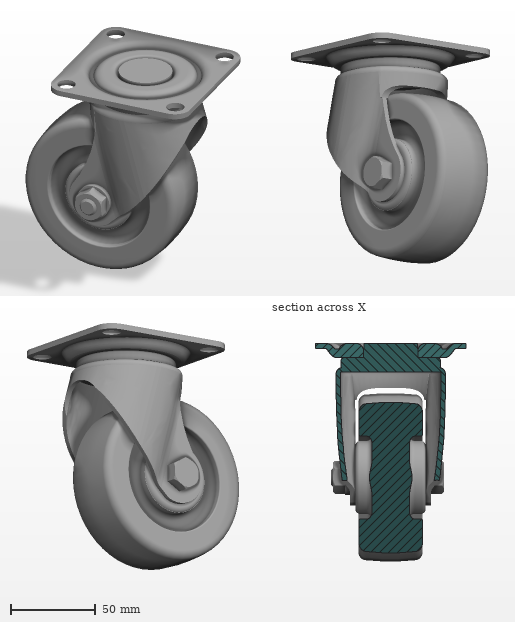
import cadquery as cq
import math


overall_height = 130.0
wheel_radius = 50.0
axle_x = -22.0
axle_z = wheel_radius - overall_height

plate_side = 90.0
plate_thickness = 3.4
plate_corner_radius = 10.0
plate_hole_diameter = 10.9
plate_hole_spacing = 71.0
plate_depth = 8.7
dish_top_radius = 39.3
dish_floor_outer_radius = 33.3
dish_floor_inner_radius = 31.0
dish_floor_depth = 3.5
mound_radius = 25.4
lip_radius = 20.9
skirt_top_radius = 38.4
skirt_edge_radius = 36.1
skirt_edge_depth = 6.4
skirt_bottom_radius = 33.0

sheet = 3.0
pivot_radius = 16.0
ring_radius = 29.8
ring_fillet = 2.0
fork_top = -14.4
crown_height = 4.2
crown_fillet = 4.0
bulge_radius = 32.6
front_bulge_x = -2.6
rear_bulge_x = 0.6
blend_radius = 10.4
leg_outer_y = 23.9
leg_front_x = -22.1
leg_front_z = -33.9
leg_front_mid = (-27.3, -55.2)
rear_edge_foot = (-3.2, -84.6)
rear_edge_mid = (25.5, -49.4)
rear_edge_top = (35.9, -24.7)
leg_reach = 78.0
leg_tip_radius = 16.8
leg_tip_front = 153
leg_tip_rear = 298
wall_lean = math.tan(math.radians(15.5))
apron_front_x = -33.0
apron_corner_radius = 5.2
apron_lean = math.tan(math.radians(5))
apron_bottom = -26.6
apron_arch_start_x = -29.9
apron_arch_mid = (-25.4, -28.3)
apron_overlap = 0.6
rear_arch_radius = 20.2
rear_arch_z = -45.4
wall_top = fork_top - crown_height
leg_inner_y = leg_outer_y - sheet

tread_half_width = 19.0
shoulder_radius = 4.5
tread_edge_radius = 49.3
recess_radius = 33.8
recess_edge_fillet = 0.8
recess_floor_radius = 29.8
recess_depth = 7.8
hub_foot_radius = 24.8
hub_radius = 21.7
hub_round = 3.0

bolt_radius = 5.5
bolt_tip_chamfer = 1.3
bolt_tip_y = -35.5
head_thickness = 7.8
hex_across_flats = 17.0
hex_corner_diameter = hex_across_flats / math.cos(math.pi / 6)
hex_chamfer = 1.2
washer_radius = 10.5
washer_thickness = 3.0
nut_thickness = 7.2

slope = math.sqrt(0.5)


def mid_of_quarter(center, start, end):
    """Middle point of a quarter ellipse from start to end about a center."""
    return tuple(c + slope * (s - c + e - c) for c, s, e in zip(center, start, end))


def mid_of_rollover(top, foot):
    """Middle point of an arc that leaves the flat plate top tangentially and comes down at a foot."""
    width = foot[0] - top[0]
    drop = top[1] - foot[1]
    radius = (width**2 + drop**2) / (2 * drop)
    half_turn = math.atan2(drop, abs(width))
    return (
        top[0] + math.copysign(radius * math.sin(half_turn), width),
        top[1] - radius * (1 - math.cos(half_turn)),
    )


def along_axle(solid):
    """Move a shape built about the Y axis onto the wheel axle."""
    return solid.translate((axle_x, 0, axle_z))


def axle_cylinder(radius, y_from, y_to):
    """Cylinder about the Y axis between two Y positions."""
    return cq.Workplane("XZ", origin=(0, y_from, 0)).circle(radius).extrude(y_from - y_to)


def hexagon(y_from, y_to):
    """Hexagonal bar about the Y axis, with a corner pointing up and its outer corners turned off."""
    outward = math.copysign(1, y_to)
    length = abs(y_to - y_from)
    bar = cq.Workplane("XZ", origin=(0, y_from, 0)).polygon(6, hex_corner_diameter)
    bar = bar.extrude(-outward * length).rotate((0, 0, 0), (0, 1, 0), 30)
    turned = axle_cylinder(hex_corner_diameter / 2, y_from, y_to)
    turned = turned.faces(">Y" if outward > 0 else "<Y").chamfer(hex_chamfer)
    return bar.intersect(turned)


def make_plate():
    slab = (
        cq.Workplane("XY")
        .rect(plate_side, plate_side)
        .extrude(-plate_thickness)
        .edges("|Z")
        .fillet(plate_corner_radius)
    )
    skirt = (
        cq.Workplane("XZ")
        .moveTo(0, 0)
        .lineTo(skirt_top_radius, 0)
        .lineTo(skirt_top_radius, -plate_thickness)
        .lineTo(skirt_edge_radius, -skirt_edge_depth)
        .tangentArcPoint((skirt_bottom_radius, -plate_depth), relative=False)
        .lineTo(0, -plate_depth)
        .close()
        .revolve(360, (0, 0, 0), (0, 1, 0))
    )
    outer_top = (dish_top_radius, 0)
    outer_foot = (dish_floor_outer_radius, -dish_floor_depth)
    inner_foot = (dish_floor_inner_radius, -dish_floor_depth)
    inner_top = (mound_radius, 0)
    groove = (
        cq.Workplane("XZ")
        .moveTo(*outer_top)
        .threePointArc(mid_of_rollover(outer_top, outer_foot), outer_foot)
        .lineTo(*inner_foot)
        .threePointArc(mid_of_rollover(inner_top, inner_foot), inner_top)
        .close()
        .revolve(360, (0, 0, 0), (0, 1, 0))
    )
    lip_drop = lip_radius - pivot_radius
    lip_top = (lip_radius, 0)
    lip_foot = (pivot_radius, -lip_drop)
    centre_hole = (
        cq.Workplane("XZ")
        .moveTo(0, 0)
        .lineTo(*lip_top)
        .threePointArc(mid_of_quarter((lip_radius, -lip_drop), lip_top, lip_foot), lip_foot)
        .lineTo(pivot_radius, -plate_depth)
        .lineTo(0, -plate_depth)
        .close()
        .revolve(360, (0, 0, 0), (0, 1, 0))
    )
    bolt_holes = (
        cq.Workplane("XY")
        .rect(plate_hole_spacing, plate_hole_spacing, forConstruction=True)
        .vertices()
        .circle(plate_hole_diameter / 2)
        .extrude(-plate_thickness)
    )
    return slab.union(skirt).cut(groove).cut(centre_hole).cut(bolt_holes)


blend_y = leg_outer_y + blend_radius
blend_x = front_bulge_x - math.sqrt((bulge_radius + blend_radius) ** 2 - blend_y**2)
bulge_share = bulge_radius / (bulge_radius + blend_radius)
bulge_start_x = front_bulge_x + bulge_share * (blend_x - front_bulge_x)
bulge_start_y = bulge_share * blend_y
blend_turn = math.atan2(front_bulge_x - blend_x, blend_y)
blend_mid_x = blend_x + blend_radius * math.sin(blend_turn / 2)
blend_mid_y = blend_y - blend_radius * math.cos(blend_turn / 2)
bulge_mid_x = front_bulge_x - bulge_radius * math.sin(blend_turn / 2)
bulge_mid_y = bulge_radius * math.cos(blend_turn / 2)


def add_bulge(plan):
    """Continue a plan outline from the -Y start of the bulge round the rear to the +Y one."""
    return (
        plan.threePointArc((bulge_mid_x, -bulge_mid_y), (front_bulge_x, -bulge_radius))
        .lineTo(rear_bulge_x, -bulge_radius)
        .threePointArc((rear_bulge_x + bulge_radius, 0), (rear_bulge_x, bulge_radius))
        .lineTo(front_bulge_x, bulge_radius)
        .threePointArc((bulge_mid_x, bulge_mid_y), (bulge_start_x, bulge_start_y))
    )


def crown_plan(z):
    """Closed plan of the crown: the bulge, with the apron across the front and rounded corners."""
    apron_end = (bulge_start_x, -bulge_start_y)
    plan = cq.Workplane("XY", origin=(0, 0, z)).moveTo(*apron_end)
    sharp = add_bulge(plan).threePointArc((apron_front_x, 0), apron_end).close()
    corners = sharp.vertices("<X").vals()
    return sharp.wires().val().fillet2D(apron_corner_radius, corners)


def leg_plan(z):
    """Plan of the legs: two flat sides joined by the bulge at the rear."""
    plan = (
        cq.Workplane("XY", origin=(0, 0, z))
        .moveTo(-leg_reach, -leg_outer_y)
        .lineTo(blend_x, -leg_outer_y)
        .threePointArc((blend_mid_x, -blend_mid_y), (bulge_start_x, -bulge_start_y))
    )
    return (
        add_bulge(plan)
        .threePointArc((blend_mid_x, blend_mid_y), (blend_x, leg_outer_y))
        .lineTo(-leg_reach, leg_outer_y)
        .close()
        .val()
    )


def prism(outline, direction):
    """Solid swept straight from a closed outline, upright or leaning."""
    return cq.Workplane(cq.Solid.extrudeLinear(outline, [], cq.Vector(*direction)))


def leaning_wall(plan, bottom, lean):
    """Sheet metal wall that follows a plan outline from the crown down, leaning towards +X."""
    drop = wall_top - bottom
    direction = (lean * drop, 0, -drop)
    outside = plan(wall_top)
    inside = outside.offset2D(-sheet)[0]
    return prism(outside, direction).cut(prism(inside, direction))


def side_trim(outline):
    """Turn a closed outline in XZ into a block right across the fork."""
    return outline.close().extrude(bulge_radius * 2, both=True)


def tip_point(degrees):
    """Point on the rounded leg tip, as (X, Z)."""
    angle = math.radians(degrees)
    return (axle_x + leg_tip_radius * math.cos(angle), axle_z + leg_tip_radius * math.sin(angle))


def make_legs():
    walls = leaning_wall(leg_plan, -overall_height, wall_lean)
    trim = side_trim(
        cq.Workplane("XZ")
        .moveTo(leg_front_x, wall_top)
        .lineTo(leg_front_x, leg_front_z)
        .threePointArc(leg_front_mid, tip_point(leg_tip_front))
        .threePointArc(tip_point((leg_tip_front + leg_tip_rear) / 2), tip_point(leg_tip_rear))
        .lineTo(*rear_edge_foot)
        .threePointArc(rear_edge_mid, rear_edge_top)
        .lineTo(rear_edge_top[0], wall_top)
    )
    rear_arch = (
        cq.Workplane("YZ", origin=(0, 0, rear_arch_z)).circle(rear_arch_radius).extrude(leg_reach)
    )
    return walls.intersect(trim).cut(rear_arch)


def make_apron():
    wall = leaning_wall(crown_plan, 2 * apron_bottom, apron_lean)
    trim = side_trim(
        cq.Workplane("XZ")
        .moveTo(-leg_reach, wall_top)
        .lineTo(-leg_reach, apron_bottom)
        .lineTo(apron_arch_start_x, apron_bottom)
        .threePointArc(apron_arch_mid, (leg_front_x, leg_front_z))
        .lineTo(leg_front_x + apron_overlap, leg_front_z)
        .lineTo(leg_front_x + apron_overlap, wall_top)
    )
    return wall.intersect(trim)


def make_crown():
    outside = crown_plan(wall_top)
    inside = outside.offset2D(-sheet)[0]
    shell = prism(outside, (0, 0, crown_height)).faces(">Z").edges().fillet(crown_fillet)
    hollow = prism(inside, (0, 0, crown_height - sheet))
    return shell.cut(hollow)


def make_fork():
    ring = (
        cq.Workplane("XY", origin=(0, 0, fork_top))
        .circle(ring_radius)
        .extrude(-plate_depth - fork_top)
        .faces(">Z")
        .edges()
        .fillet(ring_fillet)
    )
    pivot = cq.Workplane("XY", origin=(0, 0, fork_top)).circle(pivot_radius).extrude(-fork_top)
    axle_hole = along_axle(axle_cylinder(bolt_radius, -leg_outer_y, leg_outer_y))
    washer_seat = along_axle(axle_cylinder(washer_radius, -leg_outer_y, -leg_outer_y - washer_thickness))
    body = make_crown().union(make_legs()).union(make_apron()).union(ring).union(pivot)
    return body.cut(axle_hole).cut(washer_seat)


def make_rim():
    """Crowned tread with rounded shoulders, as a solid disc about the Y axis."""
    shoulder_inner = tread_edge_radius - shoulder_radius
    tread_edge_y = tread_half_width - shoulder_radius
    near_face = (shoulder_inner, -tread_half_width)
    near_tread = (tread_edge_radius, -tread_edge_y)
    far_tread = (tread_edge_radius, tread_edge_y)
    far_face = (shoulder_inner, tread_half_width)
    return (
        cq.Workplane("XY")
        .moveTo(0, -tread_half_width)
        .lineTo(*near_face)
        .threePointArc(mid_of_quarter((shoulder_inner, -tread_edge_y), near_face, near_tread), near_tread)
        .threePointArc((wheel_radius, 0), far_tread)
        .threePointArc(mid_of_quarter((shoulder_inner, tread_edge_y), far_tread, far_face), far_face)
        .lineTo(0, tread_half_width)
        .close()
        .revolve(360, (0, 0, 0), (0, 1, 0))
    )


def make_recess():
    """Ring-shaped recess round the hub, cut into the +Y face of the rim."""
    floor = tread_half_width - recess_depth
    foot_step = hub_foot_radius - hub_radius
    wall_radius = recess_radius - recess_edge_fillet
    corner = wall_radius - recess_floor_radius
    hub_root = (hub_radius, floor + foot_step)
    hub_foot = (hub_foot_radius, floor)
    floor_edge = (recess_floor_radius, floor)
    wall_foot = (wall_radius, floor + corner)
    wall_top_edge = (wall_radius, tread_half_width - recess_edge_fillet)
    face_edge = (recess_radius, tread_half_width)
    hub_center = (hub_foot_radius, floor + foot_step)
    corner_center = (recess_floor_radius, floor + corner)
    edge_center = (recess_radius, tread_half_width - recess_edge_fillet)
    return (
        cq.Workplane("XY")
        .moveTo(hub_radius, tread_half_width)
        .lineTo(*hub_root)
        .threePointArc(mid_of_quarter(hub_center, hub_root, hub_foot), hub_foot)
        .lineTo(*floor_edge)
        .threePointArc(mid_of_quarter(corner_center, floor_edge, wall_foot), wall_foot)
        .lineTo(*wall_top_edge)
        .threePointArc(mid_of_quarter(edge_center, wall_top_edge, face_edge), face_edge)
        .close()
        .revolve(360, (0, 0, 0), (0, 1, 0))
    )


def make_wheel():
    hub = axle_cylinder(hub_radius, -leg_inner_y, leg_inner_y)
    hub = hub.faces("<Y or >Y").edges().fillet(hub_round)
    recess = make_recess()
    wheel = make_rim().cut(recess).cut(recess.mirror("XZ")).union(hub)
    return along_axle(wheel.cut(axle_cylinder(bolt_radius, -leg_inner_y, leg_inner_y)))


def make_bolt():
    shank = axle_cylinder(bolt_radius, leg_outer_y, bolt_tip_y).faces("<Y").chamfer(bolt_tip_chamfer)
    head = hexagon(leg_outer_y, leg_outer_y + head_thickness)
    return along_axle(shank.union(head))


def make_nut():
    washer_face = -leg_outer_y - washer_thickness
    nut_face = washer_face - nut_thickness
    washer = axle_cylinder(washer_radius, -leg_outer_y, washer_face)
    bore = axle_cylinder(bolt_radius, -leg_outer_y, nut_face)
    return along_axle(washer.union(hexagon(washer_face, nut_face)).cut(bore))


plate = make_plate().solids()
fork = make_fork().solids()
wheel = make_wheel().solids()
bolt = make_bolt().solids()
nut = make_nut().solids()

result = cq.Compound.makeCompound([plate.val(), fork.val(), wheel.val(), bolt.val(), nut.val()])